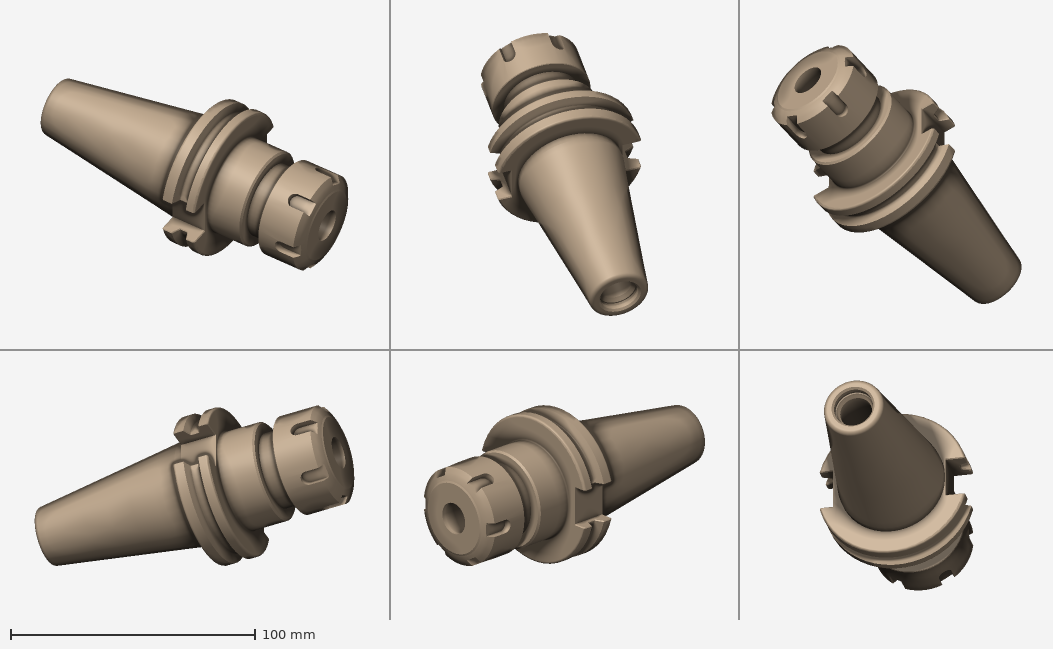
import cadquery as cq


TOTAL_LENGTH = 131.8

GAUGE_DIAMETER = 44.5
TAPER_LENGTH = 68.0
TAPER_RATIO = 7 / 24
TAPER_END_FILLET = 2.0

BORE_DIAMETER = 13.5
MOUTH_DIAMETER = 18.0
ENTRY_DIAMETER = 16.3
ENTRY_END_X = 2.6
RELIEF_DIAMETER = 16.9
RELIEF_END_X = 4.1
CONE_DIAMETER = 15.8
BORE_START_X = 5.8

FLANGE_DIAMETER = 63.5
FLANGE_START_X = 71.0
FLANGE_WIDTH = 15.8
FLANGE_END_X = FLANGE_START_X + FLANGE_WIDTH
FLANGE_FILLET = 1.0
GROOVE_DIAMETER = 56.1
GROOVE_TOP_WIDTH = 6.7
GROOVE_FLOOR_WIDTH = 3.4
GROOVE_CENTER_X = 79.3
GROOVE_FLOOR_FILLET = 0.5

SLOT_WIDTH = 16.1
SLOT_EDGE_CHAMFER = 0.4
FRONT_SLOT_FLOOR = 22.4
BACK_SLOT_FLOOR = 24.8

BODY_DIAMETER = 42.0
BODY_END_X = 103.3
BODY_CHAMFER = 0.8
ROOT_FILLET = 0.7
NOSE_DIAMETER = 32.0
NOSE_END_X = 128.5

NUT_DIAMETER = BODY_DIAMETER
NUT_START_X = 111.6
NUT_BACK_CHAMFER = 0.3
NUT_CROWN_START_X = 128.6
NUT_CROWN_MIDDLE = (130.5, 18.0)
NUT_RIM_X = 131.4
NUT_RIM_DIAMETER = 32.0
NUT_FACE_DIAMETER = 30.5
NUT_SLOT_COUNT = 6
NUT_SLOT_WIDTH = 5.9
NUT_SLOT_START_X = 119.8
NUT_SLOT_FLOOR = 17.9

TOLERANCE = 0.001


def revolve_about_x(profile):
    """Turn a closed profile of X and radius about the X axis."""
    return profile.close().revolve(360, (0, 0, 0), (1, 0, 0))


def holder_blank():
    """Taper, collar, flange, body and nose, without their bore, groove and slots."""
    small_end_radius = (GAUGE_DIAMETER - TAPER_LENGTH * TAPER_RATIO) / 2
    body_radius = BODY_DIAMETER / 2
    profile = (
        cq.Workplane("XY")
        .lineTo(0, small_end_radius)
        .lineTo(TAPER_LENGTH, GAUGE_DIAMETER / 2)
        .lineTo(FLANGE_START_X, GAUGE_DIAMETER / 2)
        .lineTo(FLANGE_START_X, FLANGE_DIAMETER / 2)
        .lineTo(FLANGE_END_X, FLANGE_DIAMETER / 2)
        .lineTo(FLANGE_END_X, body_radius + ROOT_FILLET)
        .radiusArc((FLANGE_END_X + ROOT_FILLET, body_radius), -ROOT_FILLET)
        .lineTo(BODY_END_X - BODY_CHAMFER, body_radius)
        .lineTo(BODY_END_X, body_radius - BODY_CHAMFER)
        .lineTo(BODY_END_X, NOSE_DIAMETER / 2)
        .lineTo(NOSE_END_X, NOSE_DIAMETER / 2)
        .lineTo(NOSE_END_X, 0)
    )
    blank = revolve_about_x(profile)
    blank = blank.faces("<X").edges().fillet(TAPER_END_FILLET)
    flange_rims = blank.edges(cq.selectors.RadiusNthSelector(-1))
    return flange_rims.fillet(FLANGE_FILLET)


def holder_bore():
    """Chamfered mouth and relief groove, narrowing by a cone into the plain through bore."""
    mouth_chamfer = (MOUTH_DIAMETER - ENTRY_DIAMETER) / 2
    profile = (
        cq.Workplane("XY")
        .lineTo(0, MOUTH_DIAMETER / 2)
        .lineTo(mouth_chamfer, ENTRY_DIAMETER / 2)
        .lineTo(ENTRY_END_X, ENTRY_DIAMETER / 2)
        .lineTo(ENTRY_END_X, RELIEF_DIAMETER / 2)
        .lineTo(RELIEF_END_X, RELIEF_DIAMETER / 2)
        .lineTo(RELIEF_END_X, CONE_DIAMETER / 2)
        .lineTo(BORE_START_X, BORE_DIAMETER / 2)
        .lineTo(NOSE_END_X, BORE_DIAMETER / 2)
        .lineTo(NOSE_END_X, 0)
    )
    return revolve_about_x(profile)


def flange_groove():
    """Ring with sloping sides that leaves the gripper groove in the flange rim."""
    profile = (
        cq.Workplane("XY")
        .moveTo(GROOVE_CENTER_X - GROOVE_FLOOR_WIDTH / 2, GROOVE_DIAMETER / 2)
        .lineTo(GROOVE_CENTER_X - GROOVE_TOP_WIDTH / 2, FLANGE_DIAMETER / 2)
        .lineTo(GROOVE_CENTER_X + GROOVE_TOP_WIDTH / 2, FLANGE_DIAMETER / 2)
        .lineTo(GROOVE_CENTER_X + GROOVE_FLOOR_WIDTH / 2, GROOVE_DIAMETER / 2)
    )
    ring = revolve_about_x(profile)
    floor_edges = ring.edges(cq.selectors.RadiusNthSelector(0))
    return floor_edges.fillet(GROOVE_FLOOR_FILLET)


def drive_slot(floor_distance, side):
    """Block that cuts one slot right across the flange; side is -1 for -Y and +1 for +Y."""
    middle_x = (FLANGE_START_X + FLANGE_END_X) / 2
    block = cq.Workplane("XY").box(FLANGE_WIDTH, FLANGE_DIAMETER, SLOT_WIDTH)
    return block.translate((middle_x, side * (floor_distance + FLANGE_DIAMETER / 2), 0))


def is_slot_rim(edge):
    """True for the edges of the slot walls that do not lie on a slot floor."""
    box = edge.BoundingBox()
    in_wall_plane = box.zlen < TOLERANCE and abs(abs(box.center.z) - SLOT_WIDTH / 2) < TOLERANCE
    on_floor = any(
        box.ylen < TOLERANCE and abs(box.center.y - floor) < TOLERANCE
        for floor in (-FRONT_SLOT_FLOOR, BACK_SLOT_FLOOR)
    )
    return in_wall_plane and not on_floor


def make_holder():
    holder = holder_blank().cut(holder_bore()).cut(flange_groove())
    holder = holder.cut(drive_slot(FRONT_SLOT_FLOOR, -1))
    holder = holder.cut(drive_slot(BACK_SLOT_FLOOR, 1))
    slot_rims = holder.edges().filter(is_slot_rim)
    return slot_rims.chamfer(SLOT_EDGE_CHAMFER)


def nut_slot(angle):
    """Wrench slot with a flat floor and a round inner end, open at the nut face."""
    end_radius = NUT_SLOT_WIDTH / 2
    round_center_x = NUT_SLOT_START_X + end_radius
    outline = (
        cq.Workplane("XZ", origin=(0, -NUT_SLOT_FLOOR, 0))
        .moveTo(TOTAL_LENGTH, -end_radius)
        .lineTo(round_center_x, -end_radius)
        .threePointArc((NUT_SLOT_START_X, 0), (round_center_x, end_radius))
        .lineTo(TOTAL_LENGTH, end_radius)
        .close()
    )
    return outline.extrude(NUT_DIAMETER / 2).rotate((0, 0, 0), (1, 0, 0), angle)


def make_nut():
    profile = (
        cq.Workplane("XY")
        .moveTo(NUT_START_X, NOSE_DIAMETER / 2)
        .lineTo(NUT_START_X, NUT_DIAMETER / 2 - NUT_BACK_CHAMFER)
        .lineTo(NUT_START_X + NUT_BACK_CHAMFER, NUT_DIAMETER / 2)
        .lineTo(NUT_CROWN_START_X, NUT_DIAMETER / 2)
        .threePointArc(NUT_CROWN_MIDDLE, (NUT_RIM_X, NUT_RIM_DIAMETER / 2))
        .lineTo(TOTAL_LENGTH, NUT_FACE_DIAMETER / 2)
        .lineTo(TOTAL_LENGTH, BORE_DIAMETER / 2)
        .lineTo(NOSE_END_X, BORE_DIAMETER / 2)
        .lineTo(NOSE_END_X, NOSE_DIAMETER / 2)
    )
    nut = revolve_about_x(profile)
    for index in range(NUT_SLOT_COUNT):
        nut = nut.cut(nut_slot(index * 360 / NUT_SLOT_COUNT))
    return nut


holder = make_holder()
nut = make_nut()
result = cq.Compound.makeCompound([holder.val(), nut.val()])